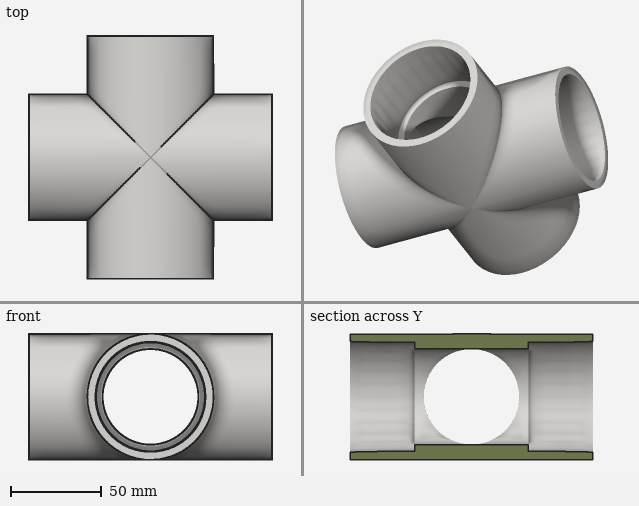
import cadquery as cq

length = 133.6
outer_diameter = 69.3
bore_diameter = 52.5
socket_mouth_diameter = 60.7
socket_root_diameter = 59.9
socket_depth = 35.4

half_length = length / 2
socket_root = half_length - socket_depth


def pipe_along_x(diameter):
    """Full-length cylinder centred on the origin."""
    return cq.Workplane("YZ").circle(diameter / 2).extrude(half_length, both=True)


def tapered_socket():
    """Conical pocket that narrows inward from the +X mouth."""
    profile = [
        (socket_root, 0),
        (socket_root, socket_root_diameter / 2),
        (half_length, socket_mouth_diameter / 2),
        (half_length, 0),
    ]
    return cq.Workplane("XY").polyline(profile).close().revolve(360, (0, 0, 0), (1, 0, 0))


def turned(body, angle):
    """Body rotated about the vertical axis."""
    return body.rotate((0, 0, 0), (0, 0, 1), angle)


outer_pipe = pipe_along_x(outer_diameter)
bore = pipe_along_x(bore_diameter)
result = outer_pipe.union(turned(outer_pipe, 90))
result = result.cut(bore).cut(turned(bore, 90))

socket = tapered_socket()
for angle in (0, 90, 180, 270):
    result = result.cut(turned(socket, angle))